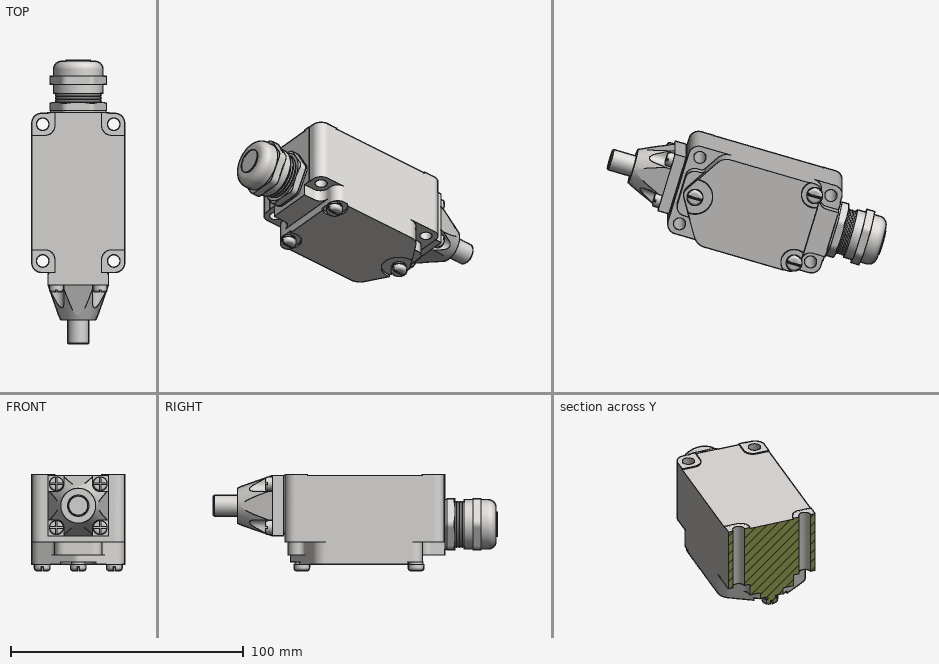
import cadquery as cq
import math


overall_length = 122.0
overall_height = 41.5

width = 40.0
length = 68.5
top_z = 28.7
corner_radius = 4.3

ear_height = 0.5
ear_width = 10.0
ear_length = 9.8
ear_top_z = top_z + ear_height
hole_diameter = 5.2
hole_x = 15.3
hole_front_y = 5.0
hole_rear_y = 63.7

pad_width = 26.4
pad_height = 0.2
rear_y = length + pad_height

cover_bottom_z = -9.5
cover_rear_y = 59.2
cover_tip_y = 1.7
cover_shoulder_y = 14.0
cover_shoulder_radius = 6.1
cover_tip_radius = 3.9
cover_rear_radius = 4.1

lug_width = 20.3
lug_bottom_z = -5.5
lug_front_y = 1.3
lug_corner_radius = 4.0
lug_front_blend = 2.5
lug_rear_blend = 4.0

cover_screw_x = 15.5
cover_screw_rear_y = 56.4
cover_screw_front_y = 7.3
spot_face_front = 15.3
spot_face_rear = 11.4
spot_face_z = -8.4
cover_screw_neck = 6.0
cover_screw_head = 6.8
cover_screw_end_z = ear_top_z - overall_height
cover_screw_rounding = 1.3
cover_screw_slot = 0.7
cover_screw_slot_depth = 1.7

head_side = 26.0
head_z = top_z - head_side / 2
neck_height = 0.5
neck_inset = 0.4
neck_floor = 0.7
neck_radius = 1.8
head_front_y = -5.4
cone_front_y = -20.4
cone_base_diameter = 29.3
cone_end_diameter = 15.0
flat_slope = 0.35

head_screw_offset = 9.4
pocket_radius = 3.3
head_screw_diameter = 6.0
head_screw_height = 2.9
head_screw_rounding = 0.9
head_screw_slot = 0.7
head_screw_slot_depth = 0.9

plunger_diameter = 9.2
plunger_end_y = -30.8
plunger_chamfer = 0.5

gland_z = 7.7
hex_flats = 22.0
hex_corner_radius = 3.0
nut_foot_y = 69.7
nut_foot_inset = 0.2
nut_end_y = 73.1
nut_chamfer_length = 0.6
nut_end_diameter = 22.0
thread_diameter = 19.8
thread_root = 19.2
thread_turns = 3
cap_front_y = 77.0
cap_diameter = 21.4
cap_end_y = 90.8
cap_rounding = 3.5
cap_hex_front_y = 80.8
cap_hex_rear_y = 84.3
cap_bore_end_y = cap_hex_rear_y
seal_diameter = 10.6
seal_end_y = plunger_end_y + overall_length


def rod_y(diameter, start_y, end_y, x=0.0, z=0.0):
    """A cylinder along Y between two Y positions."""
    disc = cq.Workplane("XZ", origin=(x, start_y, z)).circle(diameter / 2)
    return disc.extrude(start_y - end_y)


def rod_z(diameter, start_z, end_z, x, y):
    """A cylinder along Z between two Z positions."""
    disc = cq.Workplane("XY", origin=(x, y, start_z)).circle(diameter / 2)
    return disc.extrude(end_z - start_z)


def box_between(x_range, y_range, z_range):
    """A box between two positions on each axis."""
    (x0, x1), (y0, y1), (z0, z1) = x_range, y_range, z_range
    return cq.Workplane("XY").box(x1 - x0, y1 - y0, z1 - z0, centered=False).translate((x0, y0, z0))


def revolve_y(profile, z):
    """Revolve a closed (radius, y) profile around the Y axis at height z."""
    turned = cq.Workplane("XY").polyline(profile).close().revolve(360, (0, 0, 0), (0, 1, 0))
    return turned.translate((0, 0, z))


def housing_block():
    """Block with rounded upright corners and the low gland pad on its rear face."""
    block = box_between((-width / 2, width / 2), (0, length), (0, ear_top_z))
    block = block.edges("|Z").fillet(corner_radius)
    pad = box_between((-pad_width / 2, pad_width / 2), (length, rear_y), (0, ear_top_z))
    return block.union(pad)


def ear(side, end_y, inward):
    """One ear pad, rounded at its inner corner; inward is the sign of Y away from the end face."""
    pad = box_between((width / 2 - ear_width, width / 2), (0, ear_length), (top_z, ear_top_z))
    pad = pad.edges("|Z and <X and >Y").fillet(corner_radius)
    if side < 0:
        pad = pad.mirror("YZ")
    if inward < 0:
        pad = pad.mirror("XZ")
    return pad.translate((0, end_y, 0))


def recess_between_ears():
    """Shallow recess that leaves the four ears standing."""
    recess = box_between((-width / 2, width / 2), (0, rear_y), (top_z, ear_top_z))
    for side in (-1, 1):
        recess = recess.cut(ear(side, 0, 1)).cut(ear(side, rear_y, -1))
    return recess


def cover():
    """Plate with a rounded point at the front, rounded shoulders and rounded rear corners."""
    outline = [
        (-width / 2, cover_rear_y),
        (-width / 2, cover_shoulder_y),
        (0, cover_tip_y),
        (width / 2, cover_shoulder_y),
        (width / 2, cover_rear_y),
    ]
    plate = cq.Workplane("XY").polyline(outline).close().extrude(cover_bottom_z)
    plate = plate.edges("|Z and <Y").fillet(cover_tip_radius)
    plate = plate.edges("|Z and >Y").fillet(cover_rear_radius)
    for side in (-1, 1):
        shoulder = cq.selectors.NearestToPointSelector((side * width / 2, cover_shoulder_y, cover_bottom_z / 2))
        plate = plate.edges(shoulder).fillet(cover_shoulder_radius)
    return plate


def cover_with_lugs():
    """The cover and one long lug block that stands out at both of its ends."""
    half = lug_width / 2
    block = box_between((-half, half), (lug_front_y, rear_y), (lug_bottom_z, 0))
    block = block.edges("|Z and <Y").fillet(lug_corner_radius)
    both = cover().union(block)
    slant = (cover_shoulder_y - cover_tip_y) / (width / 2)
    joints = [(cover_tip_y + slant * half, lug_front_blend), (cover_rear_y, lug_rear_blend)]
    for joint_y, blend_radius in joints:
        for side in (-1, 1):
            joint = cq.selectors.NearestToPointSelector((side * half, joint_y, lug_bottom_z / 2))
            both = both.edges(joint).fillet(blend_radius)
    return both


def cover_screw_places():
    """X, Y and spot face diameter of each cover screw."""
    return [
        (0, cover_screw_front_y, spot_face_front),
        (-cover_screw_x, cover_screw_rear_y, spot_face_rear),
        (cover_screw_x, cover_screw_rear_y, spot_face_rear),
    ]


def cover_screw(x, y):
    """A slotted screw head on a short neck."""
    neck = rod_z(cover_screw_neck, spot_face_z, cover_bottom_z, x, y)
    head = rod_z(cover_screw_head, cover_bottom_z, cover_screw_end_z, x, y)
    head = head.faces("<Z").edges().fillet(cover_screw_rounding)
    slot = cq.Workplane("XY").box(cover_screw_slot, cover_screw_head, 2 * cover_screw_slot_depth)
    return neck.union(head.cut(slot.translate((x, y, cover_screw_end_z))))


def head_neck():
    """Narrower strip that joins the head block to the housing."""
    half = head_side / 2 - neck_inset
    bottom_z = head_z - head_side / 2 + neck_floor
    neck = box_between((-half, half), (-neck_height, 0), (bottom_z, top_z))
    return neck.edges("|Y and <Z").fillet(neck_radius)


def head_cone():
    """Cone with four sloping flats that start at the sides of the square head block."""
    rise = head_front_y - cone_front_y
    plane = cq.Workplane("XZ", origin=(0, head_front_y, head_z))
    cone = plane.circle(cone_base_diameter / 2).workplane(offset=rise).circle(cone_end_diameter / 2).loft()
    flats = plane.rect(head_side, head_side).extrude(rise, taper=math.degrees(math.atan(flat_slope)))
    return cone.intersect(flats)


def corner_pocket(side_x, side_z):
    """Square pocket, open to the outside, rounded about the screw axis."""
    reach = head_side / 2 - head_screw_offset + pocket_radius
    middle = head_side / 2 - reach / 2
    depth = head_front_y - cone_front_y
    pocket = cq.Workplane("XY").box(reach, depth, reach)
    inner_x = "<X" if side_x > 0 else ">X"
    inner_z = "<Z" if side_z > 0 else ">Z"
    pocket = pocket.edges(f"|Y and {inner_x} and {inner_z}").fillet(pocket_radius)
    return pocket.translate((side_x * middle, head_front_y - depth / 2, head_z + side_z * middle))


def head_screw(side_x, side_z):
    """A round screw head with a cross of two slots."""
    x = side_x * head_screw_offset
    z = head_z + side_z * head_screw_offset
    end_y = head_front_y - head_screw_height
    screw = rod_y(head_screw_diameter, head_front_y, end_y, x, z)
    screw = screw.faces("<Y").edges().fillet(head_screw_rounding)
    slot = cq.Workplane("XY").box(head_screw_diameter, 2 * head_screw_slot_depth, head_screw_slot)
    cross = slot.union(slot.rotate((0, 0, 0), (0, 1, 0), 90))
    return screw.cut(cross.translate((x, end_y, z)))


def actuator_head():
    """Square block, cone with screws in its corner pockets, and the plunger."""
    half = head_side / 2
    block = box_between((-half, half), (head_front_y, -neck_height), (head_z - half, head_z + half))
    head = block.union(head_neck()).union(head_cone())
    for side_x in (-1, 1):
        for side_z in (-1, 1):
            head = head.cut(corner_pocket(side_x, side_z)).union(head_screw(side_x, side_z))
    plunger = rod_y(plunger_diameter, cone_front_y, plunger_end_y, z=head_z)
    return head.union(plunger.faces("<Y").edges().chamfer(plunger_chamfer))


def make_switch_body():
    """Housing, cover and actuator head in one piece."""
    lower = cover_with_lugs()
    for x, y, spot_face in cover_screw_places():
        lower = lower.cut(rod_z(spot_face, spot_face_z, cover_bottom_z, x, y))
        lower = lower.union(cover_screw(x, y))
    body = housing_block().cut(recess_between_ears()).union(lower).union(actuator_head())
    for x in (-hole_x, hole_x):
        for y in (hole_front_y, hole_rear_y):
            body = body.cut(rod_z(hole_diameter, 0, ear_top_z, x, y))
    return body


def hexagon(flats, start_y, end_y):
    """Hexagonal prism along Y with two flats level and rounded corners."""
    corners = flats / math.cos(math.pi / 6)
    prism = cq.Workplane("XZ", origin=(0, start_y, gland_z)).polygon(6, corners).extrude(start_y - end_y)
    return prism.edges("|Y").fillet(hex_corner_radius)


def gland_nut():
    """Hexagon nut with a slightly smaller foot and a turned chamfer at its threaded end."""
    foot = hexagon(hex_flats - 2 * nut_foot_inset, rear_y, nut_foot_y)
    nut = foot.union(hexagon(hex_flats, nut_foot_y, nut_end_y))
    outer = hex_flats / math.cos(math.pi / 6) / 2
    envelope = revolve_y(
        [
            (0, rear_y),
            (outer, rear_y),
            (outer, nut_end_y - nut_chamfer_length),
            (nut_end_diameter / 2, nut_end_y),
            (0, nut_end_y),
        ],
        gland_z,
    )
    return nut.intersect(envelope)


def make_gland_base():
    """Hexagon nut, threaded neck with ring-shaped turns, and a plain spigot inside the cap."""
    pitch = (cap_front_y - nut_end_y) / thread_turns
    root = thread_root / 2
    profile = [(0, nut_end_y), (root, nut_end_y)]
    for turn in range(thread_turns):
        profile.append((thread_diameter / 2, nut_end_y + (turn + 0.5) * pitch))
        profile.append((root, nut_end_y + (turn + 1) * pitch))
    profile += [(root, cap_bore_end_y), (0, cap_bore_end_y)]
    return gland_nut().union(revolve_y(profile, gland_z))


def make_gland_cap():
    """Rounded cap with a hexagon band, bored for the spigot and the seal."""
    cap = rod_y(cap_diameter, cap_front_y, cap_end_y, z=gland_z)
    cap = cap.faces(">Y").edges().fillet(cap_rounding)
    cap = cap.union(hexagon(hex_flats, cap_hex_front_y, cap_hex_rear_y))
    cap = cap.cut(rod_y(thread_root, cap_front_y, cap_bore_end_y, z=gland_z))
    return cap.cut(rod_y(seal_diameter, cap_bore_end_y, cap_end_y, z=gland_z))


def make_gland_seal():
    """Plug that fills the cap opening and stands slightly proud of it."""
    return rod_y(seal_diameter, cap_bore_end_y, seal_end_y, z=gland_z)


switch_body = make_switch_body()
gland_base = make_gland_base()
gland_cap = make_gland_cap()
gland_seal = make_gland_seal()

result = cq.Compound.makeCompound([switch_body.val(), gland_base.val(), gland_cap.val(), gland_seal.val()])